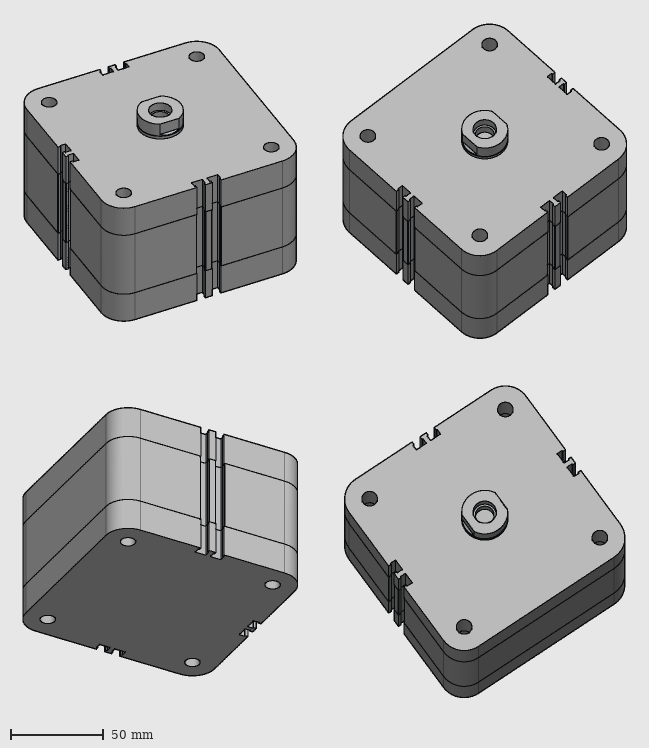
import cadquery as cq

side = 116.0
corner_radius = 13.6
cap_height = 18.5
barrel_height = 40.1
body_height = 2 * cap_height + barrel_height
total_height = 87.0

bolt_hole_diameter = 8.4
bolt_pitch = 89.0

slot_opening = 5.1
slot_pocket_width = 6.5
slot_depth = 5.0
slot_lip_thickness = 1.7
slot_offset = 4.6
barrel_slot_chamfer = 0.3
grooved_side_angles = (0, 90, -90)

collar_diameter = 25.0
collar_height = 2.0
rod_diameter = 24.8
collar_chamfer = (collar_diameter - rod_diameter) / 2
flat_height = 7.0
across_flats = 21.9
flat_floor_drop = 0.87
rod_hole_diameter = 10.2
rod_hole_depth = total_height - body_height
counterbore_diameter = 12.5
counterbore_depth = 5.0


def slot_outline(center_x, mouth_chamfer):
    """Closed T-slot outline through the -Y side, with an optional 45 degree chamfer at its mouth."""
    face_y = -side / 2
    half_opening = slot_opening / 2
    half_pocket = slot_pocket_width / 2
    if mouth_chamfer > 0:
        mouth = [
            (half_opening + 2 * mouth_chamfer, face_y - mouth_chamfer),
            (half_opening, face_y + mouth_chamfer),
        ]
    else:
        mouth = [(half_opening, face_y)]
    right_edge = mouth + [
        (half_opening, face_y + slot_lip_thickness),
        (half_pocket, face_y + slot_lip_thickness),
        (half_pocket, face_y + slot_depth),
    ]
    left_edge = [(-x, y) for x, y in reversed(right_edge)]
    return [(center_x + x, y) for x, y in right_edge + left_edge]


def body_section(bottom_z, height, mouth_chamfer=0):
    """Rounded square prism with four bolt holes and T-slots on three sides."""
    base = cq.Workplane("XY").workplane(offset=bottom_z)
    section = base.rect(side, side).extrude(height).edges("|Z").fillet(corner_radius)
    bolt_holes = (
        base.rect(bolt_pitch, bolt_pitch, forConstruction=True)
        .vertices()
        .circle(bolt_hole_diameter / 2)
        .extrude(height)
    )
    section = section.cut(bolt_holes)
    for center_x in (-slot_offset, slot_offset):
        slot = base.polyline(slot_outline(center_x, mouth_chamfer)).close().extrude(height)
        for angle in grooved_side_angles:
            section = section.cut(slot.rotate((0, 0, 0), (0, 0, 1), angle))
    return section


def make_rear_cap():
    return body_section(0, cap_height)


def make_barrel():
    return body_section(cap_height, barrel_height, barrel_slot_chamfer)


def make_front_cap():
    """Front cap with a bore that fits the rod."""
    bottom_z = cap_height + barrel_height
    rod_bore = cq.Workplane("XY").workplane(offset=bottom_z).circle(collar_diameter / 2).extrude(cap_height)
    return body_section(bottom_z, cap_height).cut(rod_bore)


def flat_cutter():
    """Prism that cuts the +X flat; its sloped floor drops from the flat to the rod surface."""
    flat_x = across_flats / 2
    rod_x = rod_diameter / 2
    flat_bottom = total_height - flat_height
    outline = [
        (flat_x, total_height),
        (flat_x, flat_bottom),
        (rod_x, flat_bottom - flat_floor_drop),
        (rod_x, total_height),
    ]
    return cq.Workplane("XZ").polyline(outline).close().extrude(rod_diameter / 2, both=True)


def make_piston_rod():
    """Rod that fills the cap bore and ends in a head with two flats and a counterbored hole."""
    shank_bottom = cap_height + barrel_height
    shank_top = body_height + collar_height
    shank = (
        cq.Workplane("XY").workplane(offset=shank_bottom)
        .circle(collar_diameter / 2).extrude(shank_top - shank_bottom)
        .faces(">Z").chamfer(collar_chamfer)
    )
    head = (
        cq.Workplane("XY").workplane(offset=shank_top)
        .circle(rod_diameter / 2).extrude(total_height - shank_top)
    )
    rod = shank.union(head)
    for angle in (0, 180):
        rod = rod.cut(flat_cutter().rotate((0, 0, 0), (0, 0, 1), angle))
    return rod.faces(">Z").workplane().cboreHole(
        rod_hole_diameter, counterbore_diameter, counterbore_depth, rod_hole_depth
    )


rear_cap = make_rear_cap()
barrel = make_barrel()
front_cap = make_front_cap()
piston_rod = make_piston_rod()

result = cq.Compound.makeCompound([rear_cap.val(), barrel.val(), front_cap.val(), piston_rod.val()])